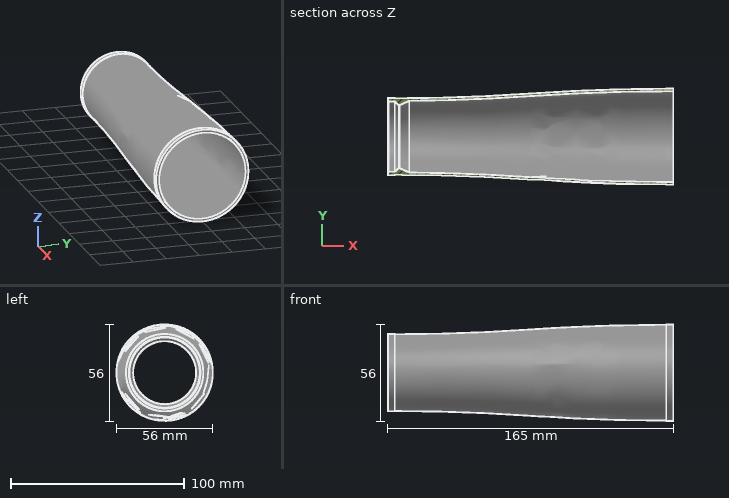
import cadquery as cq
import math

length = 165.0
small_lip_radius = 22.5
large_lip_diameter = 56.0
large_lip_radius = large_lip_diameter / 2
lip_width = 4.0
lip_step = 0.2
wall = 1.6

mouth_chamfer = 0.5
entry_radius = 20.3
throat_start = 4.0
throat_x = 6.3
throat_radius = 18.2
throat_land = 0.5
throat_end = 12.4

small_skin_radius = small_lip_radius - lip_step
large_skin_radius = large_lip_radius - lip_step
skin_start = lip_width
skin_end = length - lip_width
half_run = (skin_end - skin_start) / 2
half_rise = (large_skin_radius - small_skin_radius) / 2
arc_radius = (half_run**2 + half_rise**2) / (2 * half_rise)
middle_x = length / 2
middle_radius = small_skin_radius + half_rise


def skin_height(x):
    """Distance from the axis to the outer skin at x."""
    if x <= middle_x:
        sag = arc_radius - math.sqrt(arc_radius**2 - (x - skin_start) ** 2)
        return small_skin_radius + sag
    sag = arc_radius - math.sqrt(arc_radius**2 - (skin_end - x) ** 2)
    return large_skin_radius - sag


def skin_point(x, inset=0.0):
    return (x, skin_height(x) - inset)


def revolve_about_x(profile):
    return profile.close().revolve(360, (0, 0, 0), (1, 0, 0))


def outer_body():
    profile = (
        cq.Workplane("XY")
        .moveTo(0, 0)
        .lineTo(0, small_lip_radius)
        .lineTo(skin_start, small_lip_radius)
        .lineTo(skin_start, small_skin_radius)
        .threePointArc(skin_point((skin_start + middle_x) / 2), (middle_x, middle_radius))
        .threePointArc(skin_point((middle_x + skin_end) / 2), (skin_end, large_skin_radius))
        .lineTo(skin_end, large_lip_radius)
        .lineTo(length, large_lip_radius)
        .lineTo(length, 0)
    )
    return revolve_about_x(profile)


def bore():
    """Chamfered mouth, conical throat with a short land, then a bore that follows the skin."""
    profile = (
        cq.Workplane("XY")
        .moveTo(0, 0)
        .lineTo(0, entry_radius + mouth_chamfer)
        .lineTo(mouth_chamfer, entry_radius)
        .lineTo(throat_start, entry_radius)
        .lineTo(throat_x, throat_radius)
        .lineTo(throat_x + throat_land, throat_radius)
        .lineTo(*skin_point(throat_end, wall))
        .threePointArc(
            skin_point((throat_end + middle_x) / 2, wall), skin_point(middle_x, wall)
        )
        .threePointArc(
            skin_point((middle_x + skin_end) / 2, wall), skin_point(skin_end, wall)
        )
        .lineTo(length, large_skin_radius - wall)
        .lineTo(length, 0)
    )
    return revolve_about_x(profile)


result = outer_body().cut(bore())